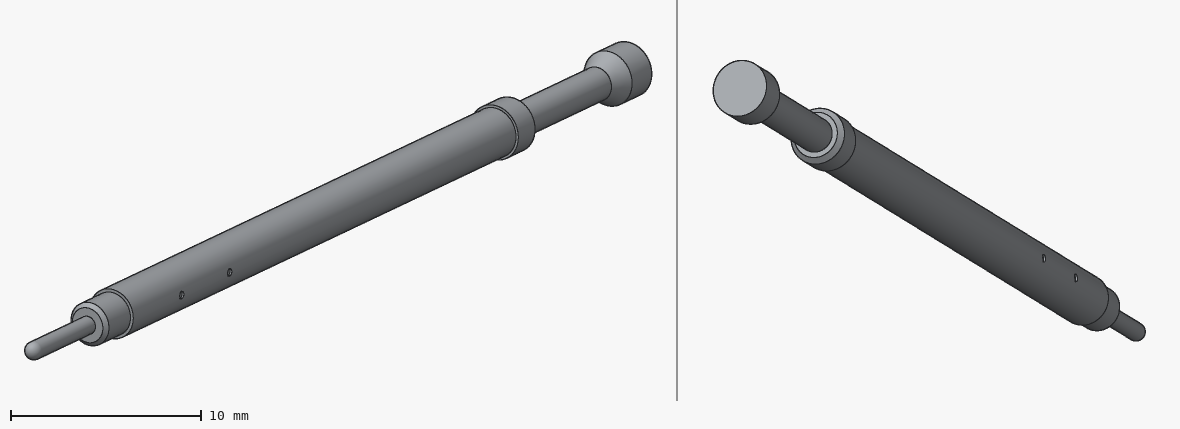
import cadquery as cq

total_length = 57.9
head_end = total_length / 2

head_diameter = 3.0
stem_diameter = 1.85
collar_diameter = head_diameter
body_diameter = 2.7
sleeve_diameter = 2.4
wire_diameter = 1.0

head_length = 1.9
head_taper_length = 1.1
stem_length = 8.0
collar_length = 1.9
body_length = 37.0
sleeve_length = 2.3

collar_chamfer = 0.3
sleeve_chamfer = 0.25

dent_diameter = 0.4
dent_depth = 0.1
first_dent_distance = 40.6
dent_spacing = 4.65

head_shoulder = head_end - head_length
stem_start = head_shoulder - head_taper_length
collar_start = stem_start - stem_length
body_start = collar_start - collar_length
sleeve_start = body_start - body_length
sleeve_end = sleeve_start - sleeve_length
wire_tip = head_end - total_length


def make_turned_part():
    """Revolve the half profile about Y; the wire ends in a hemisphere."""
    head_radius = head_diameter / 2
    stem_radius = stem_diameter / 2
    collar_radius = collar_diameter / 2
    body_radius = body_diameter / 2
    sleeve_radius = sleeve_diameter / 2
    wire_radius = wire_diameter / 2
    dome_start = wire_tip + wire_radius
    dome_mid_offset = wire_radius * 0.5 ** 0.5

    profile = (
        cq.Workplane("XY")
        .moveTo(0, head_end)
        .lineTo(head_radius, head_end)
        .lineTo(head_radius, head_shoulder)
        .lineTo(stem_radius, stem_start)
        .lineTo(stem_radius, collar_start)
        .lineTo(collar_radius - collar_chamfer, collar_start)
        .lineTo(collar_radius, collar_start - collar_chamfer)
        .lineTo(collar_radius, body_start)
        .lineTo(body_radius, body_start)
        .lineTo(body_radius, sleeve_start)
        .lineTo(sleeve_radius, sleeve_start)
        .lineTo(sleeve_radius, sleeve_end + sleeve_chamfer)
        .lineTo(sleeve_radius - sleeve_chamfer, sleeve_end)
        .lineTo(wire_radius, sleeve_end)
        .lineTo(wire_radius, dome_start)
        .threePointArc((dome_mid_offset, dome_start - dome_mid_offset), (0, wire_tip))
        .close()
    )
    return profile.revolve(360, (0, 0, 0), (0, 1, 0))


def make_dent_cutters():
    """Short round pins along X that reach dent_depth into each side of the body."""
    floor_offset = body_diameter / 2 - dent_depth
    first_dent = head_end - first_dent_distance
    dent_places = [(first_dent, 0), (first_dent - dent_spacing, 0)]
    pins = (
        cq.Workplane("YZ", origin=(floor_offset, 0, 0))
        .pushPoints(dent_places)
        .circle(dent_diameter / 2)
        .extrude(body_diameter)
    )
    return pins.union(pins.mirror("YZ"))


result = make_turned_part().cut(make_dent_cutters())